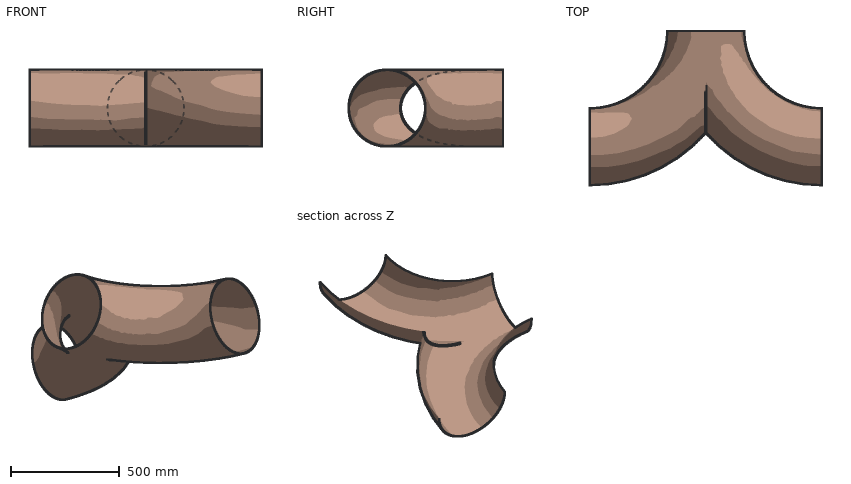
import cadquery as cq

overall_width = 1068.0
bend_radius = overall_width / 2
pipe_diameter = 356.0
wall = 3.0
bend_angle = 90
seam_width = 6.0

outer_radius = pipe_diameter / 2
inner_radius = outer_radius - wall


def trimmed_bend(radius):
    """Solid 90 degree bend to the +X inlet, cut off flat at its side of the seam."""
    full_bend = (
        cq.Workplane("XZ")
        .circle(radius)
        .revolve(bend_angle, (bend_radius, 0, 0), (bend_radius, 1, 0))
    )
    kept_side = (
        cq.Workplane("YZ", origin=(seam_width / 2, 0, 0))
        .rect(2 * overall_width, 2 * pipe_diameter)
        .extrude(overall_width)
    )
    return full_bend.intersect(kept_side)


def branch_pair(radius):
    """Both solid bends, with the seam carrying their cut profile straight across X = 0."""
    right_bend = trimmed_bend(radius)
    bend_with_seam = right_bend.faces("<X").wires().toPending().workplane().extrude(seam_width)
    return bend_with_seam.union(right_bend.mirror("YZ"))


result = branch_pair(outer_radius).cut(branch_pair(inner_radius))